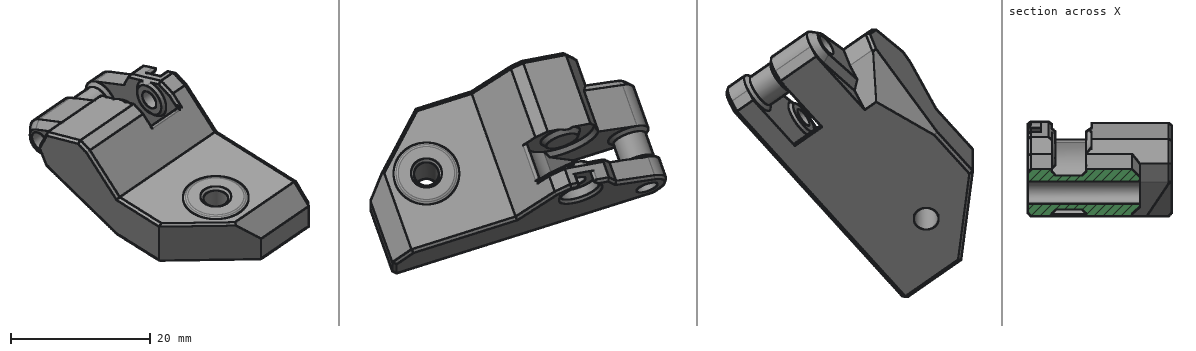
import cadquery as cq
import math

length = 41.55
width = 20.8
height = 13.65
plate_top = 7.27

rim_depth = 0.5
rim_inset = 0.355
bottom_chamfer = 0.5

pivot_x = 3.08
pivot_z = 3.4
arm_radius = pivot_x
pivot_hole_dia = 3.15
barrel_dia = 4.95
barrel_cone_length = 0.6
arm_top_slope = 25.4
arm_bottom_slope = 15.0
arm_front_inset = 1.05
arm_root_x = 12.45

pin_x = 13.15
pin_z = 9.75
pin_hole_dia = 2.8
boss_tip_dia = 4.82
jaw_boss_base_dia = 6.0
ear_boss_base_dia = 5.8

arm_front = 4.57
arm_shoulder = 5.75
jaw_wall = 11.55
slot_front = 12.35
slot_back = 17.3
ear_boss_tip = 16.8
ear_pocket_floor = 18.83

nose = (7.0, 7.55)
chin = (8.48, 4.9)
ear_corner = (8.7, 11.43)
ear_peak = (14.55, height)
jaw_corner = (8.55, 11.15)
jaw_peak = (15.05, 13.42)
shoulder = (16.9, 12.65)
plate_start = (22.85, plate_top)
end_chamfer = 2.9
end_outline = [
    shoulder,
    plate_start,
    (length - end_chamfer, plate_top),
    (length, plate_top - end_chamfer),
    (length, 0),
]

corner_cut = 10.4

undercut_start_x = 7.5
undercut_slope = 0.33

cavity_radius = 5.05
cavity_shoulder_radius = 5.55
cavity_lip_fillet = 0.395
ramp_foot_x = 11.6
ramp_foot_z = 0.35
ramp_nose_back = 0.15
ramp_top = (15.75, 5.5)

pocket_radius = 2.95
mouth_half_width = 1.3
mouth_lip_radius = 0.35

screw_x = 32.9
screw_y = 9.97
screw_hole_dia = 3.57
screw_countersink_dia = 4.45
pad_base_dia = 9.48
pad_mid_dia = 8.73
pad_top_dia = 8.1
pad_mid_height = 0.145
pad_height = 0.23

clearance = 2.08


def side_plane(y):
    """XZ sketch plane at the given Y; sketches extrude toward -Y."""
    return cq.Workplane("XZ", origin=(0, y, 0))


def slab(outline, y_from, y_to):
    """Prism of an (X, Z) sketch function between two Y places."""
    return outline(side_plane(y_to)).extrude(y_to - y_from)


def tapered(outline, y, depth, inset):
    """Prism from the plane at y, shrinking by inset over the signed depth along +Y."""
    taper = math.degrees(math.atan2(inset, abs(depth)))
    return outline(side_plane(y)).extrude(-depth, taper=taper)


def cylinder(x, z, radius, y_from, y_to):
    """Cylinder along Y."""
    start = cq.Vector(x, y_from, z)
    return cq.Workplane(cq.Solid.makeCylinder(radius, y_to - y_from, start, cq.Vector(0, 1, 0)))


def cone(x, z, radius_from, radius_to, y_from, y_to):
    """Cone frustum along Y."""
    start = cq.Vector(x, y_from, z)
    solid = cq.Solid.makeCone(radius_from, radius_to, y_to - y_from, start, cq.Vector(0, 1, 0))
    return cq.Workplane(solid)


def on_arm(angle):
    """Point on the round end of the arm, angle measured from +X toward +Z."""
    a = math.radians(angle)
    return (pivot_x + arm_radius * math.cos(a), pivot_z + arm_radius * math.sin(a))


def along(point, angle, x):
    """Point at the given X on the line through point at the given slope angle."""
    return (x, point[1] + (x - point[0]) * math.tan(math.radians(angle)))


def crossing(point, angle, a, b):
    """Where the line through point at a slope angle crosses the line a-b."""
    slope = math.tan(math.radians(angle))
    edge_slope = (b[0] - a[0]) / (b[1] - a[1])
    z = (point[1] + slope * (a[0] - edge_slope * a[1] - point[0])) / (1 - slope * edge_slope)
    return (a[0] + edge_slope * (z - a[1]), z)


arm_top_tangent = on_arm(90 + arm_top_slope)
arm_low_tangent = on_arm(225)
arm_foot = (arm_low_tangent[0] + arm_low_tangent[1], 0)


def block_outline(plane, corner, peak):
    """Arm and raised end in one outline, standing on the bottom face."""
    return (
        plane.moveTo(*arm_foot)
        .lineTo(*arm_low_tangent)
        .threePointArc(on_arm(180), arm_top_tangent)
        .lineTo(*crossing(arm_top_tangent, arm_top_slope, nose, corner))
        .polyline([corner, peak] + end_outline, includeCurrent=True)
        .close()
    )


def ear_outline(plane):
    return block_outline(plane, ear_corner, ear_peak)


def inner_outline(plane):
    return block_outline(plane, jaw_corner, jaw_peak)


def jaw_outline(plane):
    jaw_foot = (chin[0] + chin[1], 0)
    return plane.polyline([jaw_foot, chin, nose, jaw_corner, jaw_peak] + end_outline).close()


def arm_outline(plane):
    """Front arm alone, running back into the jaw."""
    low = on_arm(arm_bottom_slope - 90)
    return (
        plane.moveTo(*low)
        .threePointArc(on_arm(180), arm_top_tangent)
        .lineTo(*along(arm_top_tangent, arm_top_slope, arm_root_x))
        .lineTo(*along(low, arm_bottom_slope, arm_root_x))
        .close()
    )


def make_block():
    """Ear, arms, jaw and plate, before the plan cut and the cavity."""
    ear = slab(ear_outline, slot_back, width - rim_depth)
    ear_rim = tapered(ear_outline, width - rim_depth, rim_depth, rim_inset)
    inner = slab(inner_outline, arm_shoulder, slot_back)
    jaw = slab(jaw_outline, rim_depth, arm_shoulder)
    jaw_rim = tapered(jaw_outline, rim_depth, -rim_depth, rim_inset)
    arm = tapered(arm_outline, arm_shoulder, arm_front - arm_shoulder, arm_front_inset)
    return inner.union(ear).union(ear_rim).union(jaw).union(jaw_rim).union(arm)


def plan_blank():
    """Plan outline with its front corner cut off, and chamfered bottom edges."""
    corners = [
        (0, 0),
        (length - corner_cut, 0),
        (length, corner_cut),
        (length, width - rim_depth),
        (length - rim_depth, width),
        (0, width),
    ]
    blank = cq.Workplane("XY").polyline(corners).close().extrude(height)
    return blank.faces("<Z").chamfer(bottom_chamfer)


def corner_edge_break():
    """Wedge along the top edge of the cut plan corner."""
    wedge = (
        cq.Workplane("XZ")
        .polyline([(-rim_inset, 0), (0, -rim_inset), (rim_inset, 0)])
        .close()
        .extrude(length, both=True)
    )
    mid = (length - corner_cut / 2, corner_cut / 2, plate_top)
    return wedge.rotate((0, 0, 0), (0, 0, 1), -45).translate(mid)


def undercut():
    """Sloping 45 degree cut that grows from the bottom chamfer toward the jaw."""
    def section(x):
        leg = rim_depth + undercut_slope * (plate_start[0] - x)
        low = -clearance
        high = leg + clearance
        points = [(low, low), (high, low), (low, high)]
        return cq.Wire.makePolygon([cq.Vector(x, y, z) for y, z in points], close=True)

    return cq.Workplane(cq.Solid.makeLoft([section(undercut_start_x), section(plate_start[0])], True))


def slot_outline(plane):
    """Open space ahead of the ramp and of the pin, from the bottom to above the ear."""
    foot = (ramp_foot_x, ramp_foot_z)
    low = (ramp_foot_x + ramp_nose_back, 0)
    top = height + clearance
    return plane.polyline(
        [(-clearance, 0), low, foot, ramp_top, (pin_x, pin_z), (pin_x, top), (-clearance, top)]
    ).close()


def cavity():
    """Swing space for a link on the pin, open to the slot between the arms."""
    round_part = cylinder(pin_x, pin_z, cavity_radius, jaw_wall, slot_back)
    flare = cone(pin_x, pin_z, cavity_radius, cavity_shoulder_radius, jaw_wall, slot_front)
    flare = flare.intersect(slab(slot_outline, jaw_wall, slot_front))
    return round_part.union(flare).union(slab(slot_outline, slot_front, slot_back))


def barrel():
    """Round bar joining the arm ends, flared where it meets each arm."""
    radius = barrel_dia / 2
    cone_front = slot_front + barrel_cone_length
    cone_back = slot_back - barrel_cone_length
    core = cylinder(pivot_x, pivot_z, radius, slot_front, slot_back)
    front = cone(pivot_x, pivot_z, arm_radius, radius, slot_front, cone_front)
    back = cone(pivot_x, pivot_z, radius, arm_radius, cone_back, slot_back)
    return core.union(front).union(back)


def pin_bosses():
    """Facing bosses on the jaw and the ear; the jaw's is trimmed flush with the jaw top."""
    tip = boss_tip_dia / 2
    jaw_boss = cone(pin_x, pin_z, jaw_boss_base_dia / 2, tip, jaw_wall, slot_front)
    jaw_boss = jaw_boss.intersect(slab(jaw_outline, jaw_wall, slot_front))
    ear_boss = cone(pin_x, pin_z, tip, ear_boss_base_dia / 2, ear_boss_tip, slot_back)
    return jaw_boss.union(ear_boss)


def ear_edge_break():
    """Broken inner edge along the top of the ear, ending where the cavity ends."""
    left = (2 * ear_corner[0] - ear_peak[0], 2 * ear_corner[1] - ear_peak[1])

    def top_outline(plane):
        top = [left, ear_peak, shoulder, plate_start]
        return plane.polyline(top + [(plate_start[0], -height), (left[0], -height)]).close()

    back = slot_back + rim_depth
    depth = back - ear_boss_tip
    end_x = pin_x + cavity_radius
    blank = (
        cq.Workplane("XY")
        .polyline([
            (nose[0], ear_boss_tip),
            (end_x, ear_boss_tip),
            (end_x, slot_back),
            (end_x + rim_depth, back),
            (nose[0], back),
        ])
        .close()
        .extrude(height + clearance)
    )
    keep = tapered(top_outline, back, -depth, rim_inset * depth / rim_depth)
    return blank.cut(keep)


def ear_pocket():
    """Round pocket in the back of the ear with a round-lipped mouth through its top."""
    tilt = math.atan2(ear_peak[1] - ear_corner[1], ear_peak[0] - ear_corner[0])
    top = (ear_corner[1] - pin_z) * math.cos(tilt) - (ear_corner[0] - pin_x) * math.sin(tilt)
    depth = width - ear_pocket_floor
    outer = mouth_half_width + mouth_lip_radius
    lip_mid = outer - mouth_lip_radius * math.sin(math.pi / 4)
    lip_mid_z = top - mouth_lip_radius * (1 - math.cos(math.pi / 4))
    mouth = (
        side_plane(width)
        .moveTo(-mouth_half_width, 0)
        .lineTo(-mouth_half_width, top - mouth_lip_radius)
        .threePointArc((-lip_mid, lip_mid_z), (-outer, top))
        .lineTo(-outer, top + clearance)
        .lineTo(outer, top + clearance)
        .lineTo(outer, top)
        .threePointArc((lip_mid, lip_mid_z), (mouth_half_width, top - mouth_lip_radius))
        .lineTo(mouth_half_width, 0)
        .close()
        .extrude(depth)
        .rotate((0, 0, 0), (0, 1, 0), -math.degrees(tilt))
        .translate((pin_x, 0, pin_z))
    )
    bore = cylinder(pin_x, pin_z, pocket_radius, ear_pocket_floor, width)
    rim = cone(pin_x, pin_z, pocket_radius, pocket_radius + rim_inset, width - rim_depth, width)
    return bore.union(rim).union(mouth)


def turned(outline):
    """Solid of revolution about the screw axis from (radius, Z) points."""
    sketch = cq.Workplane("XZ", origin=(screw_x, screw_y, 0))
    return sketch.polyline(outline).close().revolve(360, (0, 0), (0, 1))


def screw_pad():
    """Low stepped cone around the screw hole."""
    base_radius = pad_base_dia / 2
    top_z = plate_top + pad_height
    return turned([
        (0, 0),
        (base_radius, 0),
        (base_radius, plate_top),
        (pad_mid_dia / 2, plate_top + pad_mid_height),
        (pad_top_dia / 2, top_z),
        (0, top_z),
    ])


def screw_hole():
    """Through hole with a 45 degree countersink at the pad."""
    top_z = plate_top + pad_height
    hole_radius = screw_hole_dia / 2
    sink_radius = screw_countersink_dia / 2
    sink_z = top_z - (sink_radius - hole_radius)
    return turned([(0, 0), (hole_radius, 0), (hole_radius, sink_z), (sink_radius, top_z), (0, top_z)])


def round_cavity_lip(body):
    """Rounds the sharp edge where the cavity wall meets the slope above it."""
    slope = (plate_start[0] - shoulder[0]) / (plate_start[1] - shoulder[1])
    near_z = pin_z + clearance
    near = (shoulder[0] + slope * (near_z - shoulder[1]), (jaw_wall + slot_back) / 2, near_z)
    return body.edges(cq.selectors.NearestToPointSelector(near)).fillet(cavity_lip_fillet)


body = make_block().intersect(plan_blank()).cut(corner_edge_break()).cut(undercut())
body = round_cavity_lip(body.cut(cavity()))
body = body.union(barrel()).union(pin_bosses()).union(screw_pad())
body = body.cut(ear_edge_break()).cut(ear_pocket())
body = body.cut(cylinder(pivot_x, pivot_z, pivot_hole_dia / 2, 0, width))
body = body.cut(cylinder(pin_x, pin_z, pin_hole_dia / 2, ear_boss_tip, ear_pocket_floor))
result = body.cut(screw_hole())